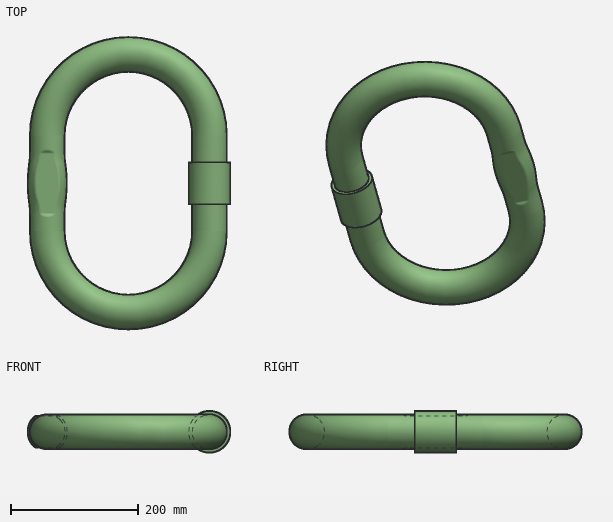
import cadquery as cq
import math

bar_diameter = 55.0
inner_width = 200.0
straight_length = 150.0
bar_radius = bar_diameter / 2
bend_radius = inner_width / 2 + bar_radius

collar_diameter = 66.0
collar_length = 66.0

swell_radius = 31.25
swell_half_length = 46.4
crown_half_length = 28.4

flat_height = 25.0
flat_half_length = swell_half_length
end_ramp_radius = 5.0
rim_fillet = 5.0


def make_plain_bar():
    """Round bar through both half-circle bends and the +X leg, open at the -X leg."""
    half = straight_length / 2
    path = (
        cq.Workplane("XY")
        .moveTo(-bend_radius, half)
        .threePointArc((0, half + bend_radius), (bend_radius, half))
        .lineTo(bend_radius, -half)
        .threePointArc((0, -half - bend_radius), (-bend_radius, -half))
    )
    section = cq.Workplane("XZ", origin=(-bend_radius, half, 0)).circle(bar_radius)
    return section.sweep(path)


def make_collar():
    """Plain cylinder centred on the +X leg."""
    plane = cq.Workplane("XZ", origin=(bend_radius, collar_length / 2, 0))
    return plane.circle(collar_diameter / 2).extrude(collar_length)


def make_swelling():
    """Leg section turned with a convex crown that runs tangentially into the bar."""
    rise = swell_radius - bar_radius
    joint_angle = 2 * math.atan(rise / swell_half_length)
    crown_drop = crown_half_length * math.tan(joint_angle / 2)
    joint_radius = swell_radius - crown_drop
    profile = (
        cq.Workplane("XY", origin=(-bend_radius, 0, 0))
        .moveTo(0, -straight_length / 2)
        .lineTo(bar_radius, -straight_length / 2)
        .lineTo(bar_radius, -swell_half_length)
        .tangentArcPoint((joint_radius, -crown_half_length), relative=False)
        .threePointArc((swell_radius, 0), (joint_radius, crown_half_length))
        .tangentArcPoint((bar_radius, swell_half_length), relative=False)
        .lineTo(bar_radius, straight_length / 2)
        .lineTo(0, straight_length / 2)
        .close()
    )
    return profile.revolve(360, (0, 0, 0), (0, 1, 0))


def make_flat_cutter():
    """Block above the flat, with a concave ramp at each end."""
    ramp_top = flat_height + end_ramp_radius
    ramp_end = flat_half_length + end_ramp_radius
    ramp_mid_y = flat_half_length + end_ramp_radius * math.sin(math.pi / 4)
    ramp_mid_z = ramp_top - end_ramp_radius * math.cos(math.pi / 4)
    clear_height = 2 * swell_radius
    profile = (
        cq.Workplane("YZ", origin=(-bend_radius, 0, 0))
        .moveTo(-flat_half_length, flat_height)
        .lineTo(flat_half_length, flat_height)
        .threePointArc((ramp_mid_y, ramp_mid_z), (ramp_end, ramp_top))
        .lineTo(ramp_end, clear_height)
        .lineTo(-ramp_end, clear_height)
        .lineTo(-ramp_end, ramp_top)
        .threePointArc((-ramp_mid_y, ramp_mid_z), (-flat_half_length, flat_height))
        .close()
    )
    return profile.extrude(swell_radius, both=True)


def make_flatted_leg():
    """-X leg with both flats cut into its swelling and their rims rounded over."""
    cutter = make_flat_cutter()
    leg = make_swelling().cut(cutter).cut(cutter.mirror("XY"))
    ramp_centre = flat_half_length + end_ramp_radius / 2
    for side in (1, -1):
        rim = []
        for y in (-ramp_centre, 0, ramp_centre):
            nearest = cq.selectors.NearestToPointSelector((-bend_radius, y, side * flat_height))
            face_edges = leg.faces(nearest).edges().vals()
            rim += [edge for edge in face_edges if edge.geomType() != "LINE"]
        leg = leg.newObject(rim).fillet(rim_fillet)
    return leg


result = make_plain_bar().union(make_flatted_leg()).union(make_collar())